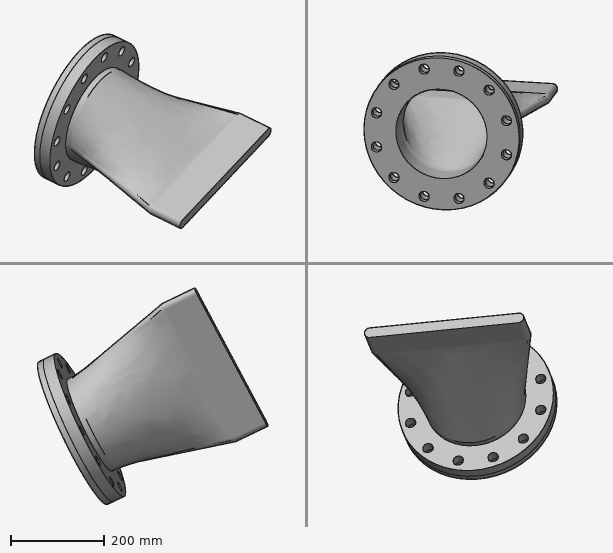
import cadquery as cq
import math


overall_length = 380.0
flange_thickness = 14.0
ring_thickness = 26.2
collar_end = 54.0
lip_length = 77.5
lip_start = overall_length - lip_length

flange_diameter = 340.0
bolt_circle_diameter = 295.0
bolt_hole_diameter = 22.0
bolt_count = 12
bolt_hole_length = flange_thickness + ring_thickness

bore_diameter = 200.0
wall = 10.0
collar_diameter = bore_diameter + 2 * wall
lip_width = 349.0
lip_height = 23.5
corner_height = 13.5

throat_x = 65.5
throat_diameter = 195.5
throat_corner_height = 9.0
lip_cavity_start = lip_start - wall
lip_cavity_end = overall_length - wall
lip_cavity_half_width = lip_width / 2 - wall
lip_cavity_height = 16.7
pinch_gap = 0.8
pinch_side_height = 11.5


def section_plane(x):
    """Plane across the flow axis: local x is +Y, local y is +Z."""
    return cq.Workplane("YZ", origin=(x, 0, 0))


def disc(x, thickness, diameter):
    return section_plane(x).circle(diameter / 2).extrude(thickness)


def arched_section(x, half_width, side_height, crown_height, side_bulge):
    """Closed outline of four edges: arched top and bottom, and bulged sides."""
    z = side_height / 2
    crown = crown_height / 2
    tip = half_width + side_bulge
    return (
        section_plane(x)
        .moveTo(half_width, -z)
        .threePointArc((tip, 0), (half_width, z))
        .threePointArc((0, crown), (-half_width, z))
        .threePointArc((-tip, 0), (-half_width, -z))
        .threePointArc((0, -crown), (half_width, -z))
        .close()
        .val()
    )


def circle_section(x, diameter, side_height):
    """Circle divided into wide top and bottom arcs and short side arcs."""
    radius = diameter / 2
    half_width = math.sqrt(radius**2 - (side_height / 2) ** 2)
    return arched_section(x, half_width, side_height, diameter, radius - half_width)


def lip_section(x):
    """Flat outline with full-round ends, in the same four edges as the circles."""
    half_flat = (lip_width - lip_height) / 2
    z = lip_height / 2
    return (
        section_plane(x)
        .moveTo(half_flat, -z)
        .threePointArc((lip_width / 2, 0), (half_flat, z))
        .lineTo(-half_flat, z)
        .threePointArc((-lip_width / 2, 0), (-half_flat, -z))
        .close()
        .val()
    )


def slot_section(x):
    """Rectangular mouth of the cavity where it enters the lip."""
    z = lip_cavity_height / 2
    return (
        section_plane(x)
        .moveTo(lip_cavity_half_width, -z)
        .lineTo(lip_cavity_half_width, z)
        .lineTo(-lip_cavity_half_width, z)
        .lineTo(-lip_cavity_half_width, -z)
        .close()
        .val()
    )


def pinched_section(x):
    """Closed end of the cavity: the lips nearly touch in the middle."""
    z = pinch_side_height / 2
    return (
        section_plane(x)
        .moveTo(lip_cavity_half_width, -z)
        .lineTo(lip_cavity_half_width, z)
        .threePointArc((0, pinch_gap / 2), (-lip_cavity_half_width, z))
        .lineTo(-lip_cavity_half_width, -z)
        .threePointArc((0, -pinch_gap / 2), (lip_cavity_half_width, -z))
        .close()
        .val()
    )


def ruled_solid(*sections):
    return cq.Workplane(cq.Solid.makeLoft(list(sections), True))


def bolt_holes():
    """Holes on the bolt circle, with the vertical axis midway between two of them."""
    half_step = 180 / bolt_count
    return (
        section_plane(0)
        .polarArray(bolt_circle_diameter / 2, half_step, 360, bolt_count)
        .circle(bolt_hole_diameter / 2)
        .extrude(bolt_hole_length)
    )


def make_cavity():
    """Straight bore, tapering passage and the narrowing slot between the lips."""
    bore = disc(0, collar_end, bore_diameter)
    entry = circle_section(collar_end, bore_diameter, throat_corner_height)
    throat = circle_section(throat_x, throat_diameter, throat_corner_height)
    mouth = slot_section(lip_cavity_start)
    closed_end = pinched_section(lip_cavity_end)
    return (
        bore.union(ruled_solid(entry, throat))
        .union(ruled_solid(throat, mouth))
        .union(ruled_solid(mouth, closed_end))
    )


def make_valve():
    flange = disc(0, flange_thickness, flange_diameter)
    collar = disc(0, collar_end, collar_diameter)
    taper = ruled_solid(
        circle_section(collar_end, collar_diameter, corner_height),
        lip_section(lip_start),
    )
    lip = ruled_solid(lip_section(lip_start), lip_section(overall_length))
    body = flange.union(collar).union(taper).union(lip)
    return body.cut(make_cavity()).cut(bolt_holes())


def make_backing_ring():
    ring = disc(flange_thickness, ring_thickness, flange_diameter)
    collar_bore = disc(flange_thickness, ring_thickness, collar_diameter)
    return ring.cut(collar_bore).cut(bolt_holes())


valve = make_valve()
backing_ring = make_backing_ring()

result = cq.Compound.makeCompound([valve.solids().val(), backing_ring.solids().val()])